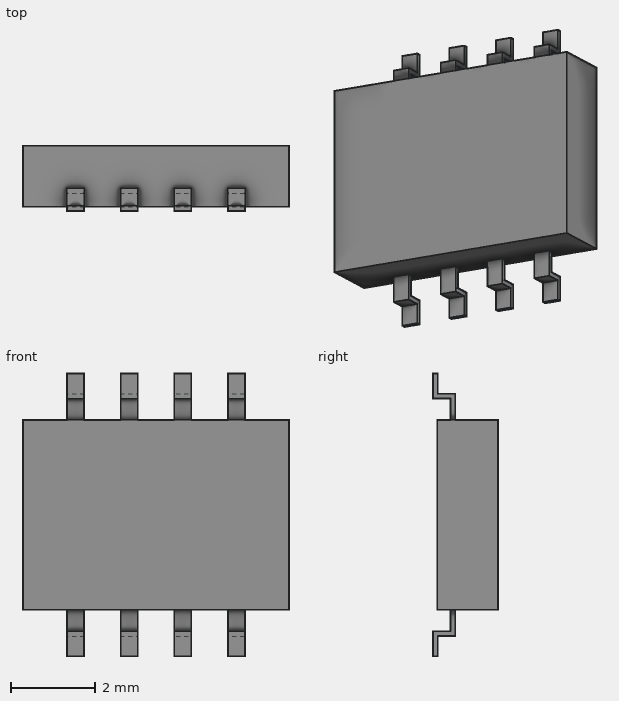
import cadquery as cq

body_length = 6.31
body_height = 4.5
body_depth = 1.45

lead_span = 6.7
leads_per_side = 4
lead_pitch = 1.27
lead_width = 0.41
lead_thickness = 0.12
foot_length = 0.595
lead_depth = 0.535
standoff = 0.1

foot_front = -standoff
foot_back = foot_front + lead_thickness
shank_back = foot_front + lead_depth
shank_front = shank_back - lead_thickness
body_top = body_height / 2
tip = lead_span / 2
step_inner = tip - foot_length
step_outer = step_inner + lead_thickness


def make_body():
    """Plain rectangular block, centred in X and Z."""
    return cq.Workplane("XY").box(
        body_length, body_depth, body_height, centered=(True, False, True)
    )


def make_top_lead(x_center):
    """Z-bent lead: shank out of the body, step forward, foot up to the tip."""
    profile = [
        (shank_front, body_top),
        (shank_front, step_inner),
        (foot_front, step_inner),
        (foot_front, tip),
        (foot_back, tip),
        (foot_back, step_outer),
        (shank_back, step_outer),
        (shank_back, body_top),
    ]
    return (
        cq.Workplane("YZ", origin=(x_center, 0, 0))
        .polyline(profile)
        .close()
        .extrude(lead_width / 2, both=True)
    )


result = make_body()
for index in range(leads_per_side):
    x_center = (index - (leads_per_side - 1) / 2) * lead_pitch
    top_lead = make_top_lead(x_center)
    bottom_lead = top_lead.mirror("XY")
    result = result.union(top_lead).union(bottom_lead)